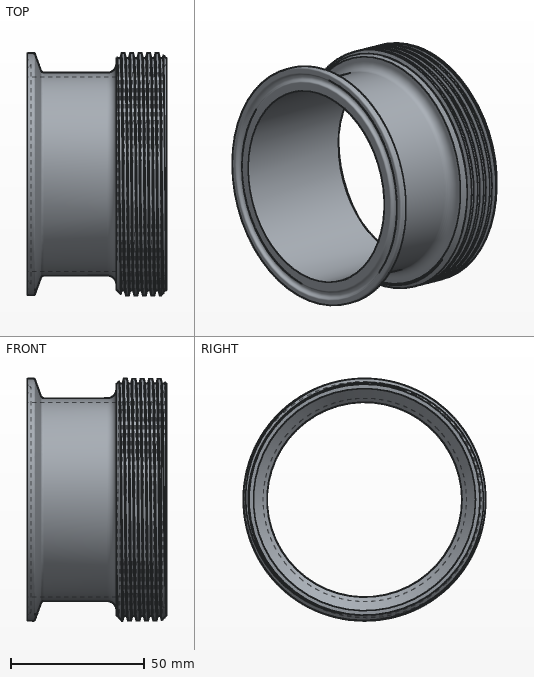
import math

import cadquery as cq

length = 52.4
outer_radius = 90.91 / 2
tube_radius = 76.2 / 2
bore_radius = 72.9 / 2

flange_rim_width = 2.84
flange_cone_angle = math.radians(20)
flange_face_fillet = 0.6
flange_rim_fillet = 0.75
flange_root_fillet = 1.0

gasket_groove_radius = 41.55
gasket_groove_width = 3.1
gasket_flank_angle = math.radians(30)
gasket_flank_depth = 0.85
gasket_lip_fillet = 0.6

collar_width = 19.05
collar_chamfer = 2.2
collar_fillet = 3.175

seat_radius = 41.6
seat_angle = math.radians(45)
seat_depth = (seat_radius - bore_radius) / math.tan(seat_angle)

pitch = 3.175
root_radius = 87.22 / 2
thread_depth = outer_radius - root_radius
flank_angle = math.radians(14.5)
acme_crest_ratio = 0.3707
crest_width = acme_crest_ratio * pitch
first_groove_x = 36.0
cutter_overshoot = 0.5

collar_start = length - collar_width
cone_end = flange_rim_width + (outer_radius - tube_radius) * math.tan(flange_cone_angle)


def edges_at(x, radius):
    """Selector for edges in the plane at x that reach no further out than the radius."""
    margin = 0.01
    reach = radius + margin
    return cq.selectors.BoxSelector(
        (x - margin, -reach, -reach), (x + margin, reach, reach), boundingbox=True
    )


def make_body():
    """Flange, tube and chamfered collar revolved about X, without the bore."""
    profile = (
        cq.Workplane("XY")
        .lineTo(0, outer_radius)
        .lineTo(flange_rim_width, outer_radius)
        .lineTo(cone_end, tube_radius)
        .lineTo(collar_start, tube_radius)
        .lineTo(collar_start, outer_radius - collar_chamfer)
        .lineTo(collar_start + collar_chamfer, outer_radius)
        .lineTo(length - collar_chamfer, outer_radius)
        .lineTo(length, outer_radius - collar_chamfer)
        .lineTo(length, 0)
        .close()
    )
    body = profile.revolve(360, (0, 0, 0), (1, 0, 0))
    rounded_corners = (
        (0, outer_radius, flange_face_fillet),
        (flange_rim_width, outer_radius, flange_rim_fillet),
        (cone_end, tube_radius, flange_root_fillet),
        (collar_start, tube_radius, collar_fillet),
    )
    for x, radius, fillet in rounded_corners:
        body = body.edges(edges_at(x, radius)).fillet(fillet)
    return body


def cut_gasket_groove(body):
    """Ring groove in the flange face: rounded lips, sloping flanks and a tangent arc bottom."""
    inner = gasket_groove_radius - gasket_groove_width / 2
    outer = gasket_groove_radius + gasket_groove_width / 2
    flank_run = gasket_flank_depth * math.tan(gasket_flank_angle)
    arc_sagitta = (gasket_groove_width / 2 - flank_run) * math.tan(
        math.pi / 4 - gasket_flank_angle / 2
    )
    arc_bottom = (gasket_flank_depth + arc_sagitta, gasket_groove_radius)
    ring = (
        cq.Workplane("XY")
        .moveTo(0, inner)
        .lineTo(gasket_flank_depth, inner + flank_run)
        .threePointArc(arc_bottom, (gasket_flank_depth, outer - flank_run))
        .lineTo(0, outer)
        .close()
        .revolve(360, (0, 0, 0), (1, 0, 0))
    )
    body = body.cut(ring)
    return body.edges(edges_at(0, outer)).fillet(gasket_lip_fillet)


def make_groove_turn():
    """One turn of the thread groove about Z, starting at Z = 0 on the +X side."""
    root_half = (pitch - crest_width) / 2 - thread_depth * math.tan(flank_angle)
    cutter_height = thread_depth + cutter_overshoot
    top_half = root_half + cutter_height * math.tan(flank_angle)
    helix = cq.Wire.makeHelix(pitch, pitch, root_radius)
    return (
        cq.Workplane("XZ")
        .moveTo(root_radius, root_half)
        .lineTo(root_radius + cutter_height, top_half)
        .lineTo(root_radius + cutter_height, -top_half)
        .lineTo(root_radius, -root_half)
        .close()
        .sweep(cq.Workplane(helix), isFrenet=True)
        .val()
    )


def cut_thread(body):
    """Cut the helical groove turn by turn, running out past both collar ends."""
    groove_turn = make_groove_turn()
    first_turn = math.floor((collar_start - first_groove_x) / pitch)
    last_turn = math.ceil((length - first_groove_x) / pitch)
    for turn in range(first_turn, last_turn):
        start = cq.Plane(
            origin=(first_groove_x + turn * pitch, 0, 0), xDir=(0, -1, 0), normal=(1, 0, 0)
        )
        body = body.cut(cq.Workplane(groove_turn.moved(cq.Location(start))))
    return body


def cut_bore(body):
    """Straight through bore that opens into a conical seat at the collar end."""
    bore = (
        cq.Workplane("XY")
        .lineTo(0, bore_radius)
        .lineTo(length - seat_depth, bore_radius)
        .lineTo(length, seat_radius)
        .lineTo(length, 0)
        .close()
        .revolve(360, (0, 0, 0), (1, 0, 0))
    )
    return body.cut(bore)


body = make_body()
body = cut_gasket_groove(body)
body = cut_thread(body)
result = cut_bore(body)